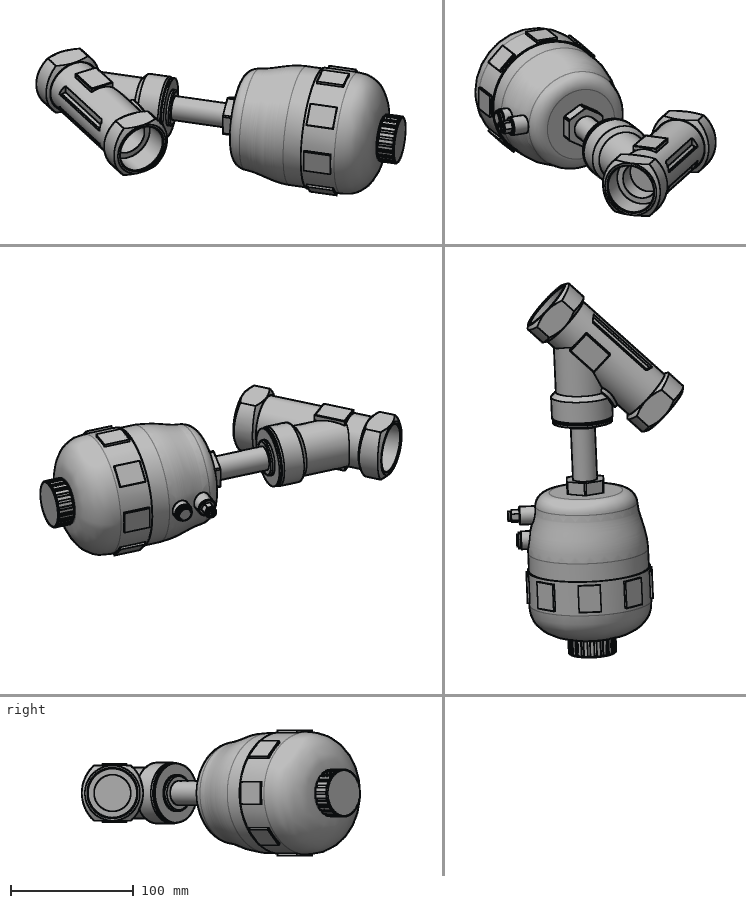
import cadquery as cq
import math

ACTUATOR_TILT = 45.0

PIPE_DIAMETER = 44.0
PIPE_START_X = -35.7
PIPE_LENGTH = 130.3
PIPE_END_X = PIPE_START_X + PIPE_LENGTH
NUT_LENGTH = 20.0
NUT_FLAT_DISTANCE = 45.2
NUT_FLAT_WIDTH = 30.0
NUT_SIDE_DISTANCE = 50.2
NUT_FACE_DIAMETER = 45.0
NUT_CHAMFER_SLOPE = 1.4
THREAD_BORE_DIAMETER = 40.0
THREAD_BORE_DEPTH = 21.5
THREAD_MOUTH_CHAMFER = 0.7
SEAT_BORE_DIAMETER = 30.0
SEAT_BORE_DEPTH = 38.0

BRANCH_DIAMETER = 41.9
COLLAR_DIAMETER = 50.0
COLLAR_START = 47.8
COLLAR_CONE_LENGTH = 4.0
COLLAR_END = 70.9
COLLAR_CHAMFER_LENGTH = 1.7
COLLAR_CHAMFER_DEPTH = 0.7

BOSS_DIAMETER = 28.0
BOSS_X = 49.2
BOSS_CROWN_RADIUS = 25.0

PLATE_START_X = 0.7
PLATE_END_X = 27.3
PLATE_LOW_Y = -8.3
PLATE_HIGH_Y = 11.7
PLATE_TOP_Z = 23.8
PLATE_CHAMFER = 0.5

SLOT_FLOOR_Y = -17.0
SLOT_MOUTH_Y = -21.2
SLOT_FLOOR_START_X = -0.7
SLOT_FLOOR_END_X = 59.7
SLOT_END_SLANT = 2.4
SLOT_INNER_Z = 6.2
SLOT_LEDGE_RISE = 2.0
SLOT_LEDGE_BEND_Y = -19.3
SLOT_CORNER_BEVEL = 0.7

BONNET_DIAMETER = 48.5
BONNET_THICKNESS = 2.5
BONNET_GROOVE_DIAMETER = 46.5
BONNET_GROOVE_WIDTH = 0.7
HUB_DIAMETER = 30.0
HUB_LENGTH = 3.0
HUB_CHAMFER = 1.2
STEM_DIAMETER = 20.0
STEM_NUT_START = 121.5
STEM_NUT_FLAT_DISTANCE = 30.0
STEM_NUT_CORNER_DIAMETER = 33.8

SHELL_START = 131.7
SHELL_BASE_DIAMETER = 60.0
SHELL_ROUND_RADIUS = 12.0
SHELL_FLARE_START_ANGLE = 6.0
SHELL_CYLINDER_START = 181.2
SHELL_CYLINDER_DIAMETER = 98.2
BAND_START = 196.5
BAND_DIAMETER = 100.0
DOME_START = 224.5
DOME_SHOULDER = (244.5, 41.1)
DOME_CROWN = (250.0, 31.5)
DOME_END = 251.5
DOME_FLAT_DIAMETER = 38.0

PAD_COUNT = 8
PAD_START = 199.3
PAD_LENGTH = 22.4
PAD_WIDTH = 18.0
PAD_OUTER_DISTANCE = 102.5
PAD_TOP_RADIUS = PAD_OUTER_DISTANCE / 2
PAD_ROOT_RADIUS = 47.5

KNOB_NECK_DIAMETER = 35.0
KNOB_NECK_LENGTH = 1.7
KNOB_DIAMETER = 39.0
KNOB_END = 267.0
KNOB_RIM_THICKNESS = 1.5
KNOB_RIM_CHAMFER = 1.0
KNOB_GROOVE_COUNT = 22
KNOB_GROOVE_WIDTH = 2.1
KNOB_GROOVE_DEPTH = 1.0

FITTING_DIAMETER = 15.0
FITTING_ROOT = 33.3
FITTING_CHAMFER = 0.7
HOSE_FITTING_AT = 150.0
HOSE_FITTING_TOP = 55.0
HOSE_HEX_FLAT_DISTANCE = 9.0
HOSE_HEX_LENGTH = 6.5
HOSE_NECK_DIAMETER = 7.0
HOSE_NECK_LENGTH = 1.0
HOSE_LIP_DIAMETER = 8.0
HOSE_LIP_LENGTH = 2.0
HOSE_BORE_DIAMETER = 5.0
HOSE_BORE_DEPTH = 3.5
VENT_FITTING_AT = 170.7
VENT_FITTING_TOP = 54.7
VENT_CAP_DIAMETER = 13.3
VENT_CAP_LENGTH = 1.7
VENT_BUTTON_DIAMETER = 10.5
VENT_BUTTON_LENGTH = 1.5


def axial_cylinder(diameter, start, end):
    return cq.Workplane("YZ", origin=(start, 0, 0)).circle(diameter / 2).extrude(end - start)


def hexagon_width_across_corners(flat_distance):
    return flat_distance / math.cos(math.radians(30))


def tilt(body):
    return body.rotate((0, 0, 0), (0, 0, 1), ACTUATOR_TILT)


def end_nut(start):
    """Nut with two flats and two bulging sides, chamfered by a cone at each end."""
    half_flat = NUT_FLAT_WIDTH / 2
    half_height = NUT_FLAT_DISTANCE / 2
    half_side = NUT_SIDE_DISTANCE / 2
    blank = (
        cq.Workplane("YZ", origin=(start, 0, 0))
        .moveTo(-half_flat, half_height)
        .lineTo(half_flat, half_height)
        .threePointArc((half_side, 0), (half_flat, -half_height))
        .lineTo(-half_flat, -half_height)
        .threePointArc((-half_side, 0), (-half_flat, half_height))
        .close()
        .extrude(NUT_LENGTH)
    )
    face_radius = NUT_FACE_DIAMETER / 2
    middle = NUT_LENGTH / 2
    envelope = (
        cq.Workplane("XY", origin=(start, 0, 0))
        .polyline([
            (0, 0),
            (0, face_radius),
            (middle, face_radius + NUT_CHAMFER_SLOPE * middle),
            (NUT_LENGTH, face_radius),
            (NUT_LENGTH, 0),
        ])
        .close()
        .revolve(360, (0, 0, 0), (1, 0, 0))
    )
    return blank.intersect(envelope)


def branch_with_collar():
    branch_radius = BRANCH_DIAMETER / 2
    collar_radius = COLLAR_DIAMETER / 2
    return (
        cq.Workplane("XY")
        .polyline([
            (0, 0),
            (0, branch_radius),
            (COLLAR_START, branch_radius),
            (COLLAR_START + COLLAR_CONE_LENGTH, collar_radius),
            (COLLAR_END - COLLAR_CHAMFER_LENGTH, collar_radius),
            (COLLAR_END, collar_radius - COLLAR_CHAMFER_DEPTH),
            (COLLAR_END, 0),
        ])
        .close()
        .revolve(360, (0, 0, 0), (1, 0, 0))
    )


def corner_boss():
    """Round boss standing along Y, crowned by a cylinder about the pipe axis."""
    post = (
        cq.Workplane("XZ", origin=(BOSS_X, 0, 0))
        .circle(BOSS_DIAMETER / 2)
        .extrude(-BOSS_CROWN_RADIUS)
    )
    return post.intersect(axial_cylinder(2 * BOSS_CROWN_RADIUS, PIPE_START_X, PIPE_END_X))


def name_plates():
    return (
        cq.Workplane("XY")
        .box(
            PLATE_END_X - PLATE_START_X,
            PLATE_HIGH_Y - PLATE_LOW_Y,
            2 * PLATE_TOP_Z,
            centered=(False, False, True),
        )
        .translate((PLATE_START_X, PLATE_LOW_Y, 0))
        .faces("<Z or >Z")
        .chamfer(PLATE_CHAMFER)
    )


def slot(side):
    """Slot with slanted ends, bevelled corners and a bent ledge; side is the sign of its Z."""
    outside_y = -PIPE_DIAMETER / 2
    slant = SLOT_END_SLANT * (SLOT_FLOOR_Y - outside_y) / (SLOT_FLOOR_Y - SLOT_MOUTH_Y)
    ends = (
        cq.Workplane("XY")
        .polyline([
            (SLOT_FLOOR_START_X, SLOT_FLOOR_Y - SLOT_CORNER_BEVEL),
            (SLOT_FLOOR_START_X + SLOT_CORNER_BEVEL, SLOT_FLOOR_Y),
            (SLOT_FLOOR_END_X - SLOT_CORNER_BEVEL, SLOT_FLOOR_Y),
            (SLOT_FLOOR_END_X, SLOT_FLOOR_Y - SLOT_CORNER_BEVEL),
            (SLOT_FLOOR_END_X + slant, outside_y),
            (SLOT_FLOOR_START_X - slant, outside_y),
        ])
        .close()
        .extrude(side * PIPE_DIAMETER / 2)
    )
    ledge = (
        cq.Workplane("YZ", origin=(PIPE_START_X, 0, 0))
        .polyline([
            (outside_y, side * SLOT_INNER_Z),
            (SLOT_LEDGE_BEND_Y, side * SLOT_INNER_Z),
            (SLOT_FLOOR_Y, side * (SLOT_INNER_Z + SLOT_LEDGE_RISE)),
            (SLOT_FLOOR_Y, side * PIPE_DIAMETER / 2),
            (outside_y, side * PIPE_DIAMETER / 2),
        ])
        .close()
        .extrude(PIPE_LENGTH)
    )
    return ends.intersect(ledge)


def end_bore():
    """Stepped blind bore in the low X end of the pipe, with a chamfered mouth."""
    thread_radius = THREAD_BORE_DIAMETER / 2
    seat_radius = SEAT_BORE_DIAMETER / 2
    return (
        cq.Workplane("XY", origin=(PIPE_START_X, 0, 0))
        .polyline([
            (0, 0),
            (0, thread_radius + THREAD_MOUTH_CHAMFER),
            (THREAD_MOUTH_CHAMFER, thread_radius),
            (THREAD_BORE_DEPTH, thread_radius),
            (THREAD_BORE_DEPTH, seat_radius),
            (SEAT_BORE_DEPTH, seat_radius),
            (SEAT_BORE_DEPTH, 0),
        ])
        .close()
        .revolve(360, (0, 0, 0), (1, 0, 0))
    )


def valve_body():
    body = axial_cylinder(PIPE_DIAMETER, PIPE_START_X, PIPE_END_X)
    body = body.union(tilt(branch_with_collar())).union(corner_boss())
    body = body.union(name_plates())
    for nut_start in (PIPE_START_X, PIPE_END_X - NUT_LENGTH):
        body = body.union(end_nut(nut_start))
    for side in (1, -1):
        body = body.cut(slot(side))
    bore = end_bore()
    return body.cut(bore).cut(bore.mirror("YZ", ((PIPE_START_X + PIPE_END_X) / 2, 0, 0)))


def stem_nut():
    corner_width = hexagon_width_across_corners(STEM_NUT_FLAT_DISTANCE)
    hexagon = (
        cq.Workplane("YZ", origin=(STEM_NUT_START, 0, 0))
        .transformed(rotate=(0, 0, 90))
        .polygon(6, corner_width)
        .extrude(SHELL_START - STEM_NUT_START)
    )
    return hexagon.intersect(axial_cylinder(STEM_NUT_CORNER_DIAMETER, STEM_NUT_START, SHELL_START))


def bonnet_and_stem():
    bonnet_end = COLLAR_END + BONNET_THICKNESS
    hub_end = bonnet_end + HUB_LENGTH
    body = axial_cylinder(BONNET_GROOVE_DIAMETER, COLLAR_END, bonnet_end)
    body = body.union(axial_cylinder(BONNET_DIAMETER, COLLAR_END + BONNET_GROOVE_WIDTH, bonnet_end))
    hub = axial_cylinder(HUB_DIAMETER, bonnet_end, hub_end).faces(">X").chamfer(HUB_CHAMFER)
    stem = axial_cylinder(STEM_DIAMETER, bonnet_end, STEM_NUT_START)
    return tilt(body.union(hub).union(stem).union(stem_nut()))


def shell():
    """Turned shell: rounded base, flared side, raised band and dome."""
    base_radius = SHELL_BASE_DIAMETER / 2
    cylinder_radius = SHELL_CYLINDER_DIAMETER / 2
    band_radius = BAND_DIAMETER / 2
    flare_angle = math.radians(SHELL_FLARE_START_ANGLE)
    flare_direction = (math.cos(flare_angle), math.sin(flare_angle))

    def round_point(angle):
        """Point on the base rounding, where angle is the slope of the surface to the axis."""
        return (
            SHELL_START + SHELL_ROUND_RADIUS * (1 - math.sin(angle)),
            base_radius + SHELL_ROUND_RADIUS * math.cos(angle),
        )

    return (
        cq.Workplane("XY")
        .moveTo(SHELL_START, 0)
        .lineTo(SHELL_START, base_radius)
        .threePointArc(round_point(math.radians(45)), round_point(flare_angle))
        .spline(
            [(SHELL_CYLINDER_START, cylinder_radius)],
            tangents=[flare_direction, (1, 0)],
            includeCurrent=True,
        )
        .lineTo(BAND_START, cylinder_radius)
        .lineTo(BAND_START, band_radius)
        .lineTo(DOME_START, band_radius)
        .spline(
            [DOME_SHOULDER, DOME_CROWN, (DOME_END, DOME_FLAT_DIAMETER / 2)],
            tangents=[(1, 0), (0, -1)],
            includeCurrent=True,
        )
        .lineTo(DOME_END, 0)
        .close()
        .revolve(360, (0, 0, 0), (1, 0, 0))
    )


def band_pad(index):
    pad = cq.Workplane("XY").box(
        PAD_LENGTH, PAD_WIDTH, PAD_TOP_RADIUS - PAD_ROOT_RADIUS, centered=(False, True, False)
    )
    pad = pad.translate((PAD_START, 0, PAD_ROOT_RADIUS))
    return pad.rotate((0, 0, 0), (1, 0, 0), index * 360 / PAD_COUNT)


def knob():
    knob_start = DOME_END + KNOB_NECK_LENGTH
    grip_end = KNOB_END - KNOB_RIM_THICKNESS
    grip = axial_cylinder(KNOB_DIAMETER, knob_start, grip_end)
    grooves = (
        cq.Workplane("YZ", origin=(knob_start, 0, 0))
        .polarArray(KNOB_DIAMETER / 2, 0, 360, KNOB_GROOVE_COUNT)
        .rect(2 * KNOB_GROOVE_DEPTH, KNOB_GROOVE_WIDTH)
        .extrude(grip_end - knob_start)
    )
    neck = axial_cylinder(KNOB_NECK_DIAMETER, DOME_END, knob_start)
    rim = axial_cylinder(KNOB_DIAMETER, grip_end, KNOB_END).faces(">X").chamfer(KNOB_RIM_CHAMFER)
    return grip.cut(grooves).union(neck).union(rim)


def radial_plane(axial_place, radius):
    return cq.Workplane("XZ", origin=(axial_place, radius, 0))


def radial_cylinder(diameter, axial_place, start, end):
    return radial_plane(axial_place, start).circle(diameter / 2).extrude(start - end)


def hose_fitting():
    hex_end = HOSE_FITTING_TOP + HOSE_HEX_LENGTH
    lip_start = hex_end + HOSE_NECK_LENGTH
    lip_end = lip_start + HOSE_LIP_LENGTH
    fitting = radial_cylinder(FITTING_DIAMETER, HOSE_FITTING_AT, FITTING_ROOT, HOSE_FITTING_TOP)
    fitting = fitting.faces(">Y").chamfer(FITTING_CHAMFER)
    hexagon = (
        radial_plane(HOSE_FITTING_AT, HOSE_FITTING_TOP)
        .polygon(6, hexagon_width_across_corners(HOSE_HEX_FLAT_DISTANCE))
        .extrude(-HOSE_HEX_LENGTH)
    )
    fitting = fitting.union(hexagon)
    fitting = fitting.union(radial_cylinder(HOSE_NECK_DIAMETER, HOSE_FITTING_AT, hex_end, lip_start))
    fitting = fitting.union(radial_cylinder(HOSE_LIP_DIAMETER, HOSE_FITTING_AT, lip_start, lip_end))
    return fitting.cut(
        radial_cylinder(HOSE_BORE_DIAMETER, HOSE_FITTING_AT, lip_end - HOSE_BORE_DEPTH, lip_end)
    )


def vent_fitting():
    cap_end = VENT_FITTING_TOP + VENT_CAP_LENGTH
    button_end = cap_end + VENT_BUTTON_LENGTH
    fitting = radial_cylinder(FITTING_DIAMETER, VENT_FITTING_AT, FITTING_ROOT, VENT_FITTING_TOP)
    fitting = fitting.faces(">Y").chamfer(FITTING_CHAMFER)
    cap = radial_cylinder(VENT_CAP_DIAMETER, VENT_FITTING_AT, VENT_FITTING_TOP, cap_end)
    button = radial_cylinder(VENT_BUTTON_DIAMETER, VENT_FITTING_AT, cap_end, button_end)
    return fitting.union(cap).union(button)


def actuator():
    body = shell()
    for index in range(PAD_COUNT):
        body = body.union(band_pad(index))
    body = body.union(knob()).union(hose_fitting()).union(vent_fitting())
    return tilt(body)


result = cq.Compound.makeCompound([
    valve_body().val(),
    bonnet_and_stem().val(),
    actuator().val(),
])